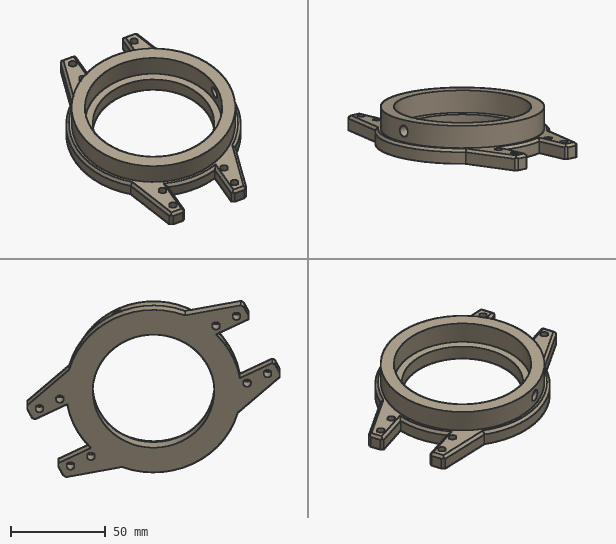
import cadquery as cq

length = 128.3
total_height = 20.0
plate_diameter = 92.4
plate_height = 8.0
edge_chamfer = 1.5

ring_diameter = 86.5
bore_diameter = 72.5
opening_diameter = 64.2

lug_inner_y = 13.9
lug_tip_y = 22.6
lug_root_x = 34.3
lug_root_y = ((plate_diameter / 2) ** 2 - lug_root_x**2) ** 0.5
lug_taper = (lug_root_y - lug_tip_y) / (length / 2 - lug_root_x)

corner_cut_x = 1.0
corner_cut_y = 1.5

lug_hole_diameter = 4.1
lug_hole_xs = (46.2, 58.3)
lug_hole_y = 18.2
side_hole_diameter = 6.0
side_hole_z = (plate_height + total_height) / 2


def make_lug(x_sign, y_sign):
    """One tapered lug, buried in the disc at its root."""
    tip_x = x_sign * length / 2
    root_x = x_sign * lug_root_x
    return (
        cq.Workplane("XY")
        .moveTo(root_x, y_sign * lug_inner_y)
        .lineTo(tip_x, y_sign * lug_inner_y)
        .lineTo(tip_x, y_sign * lug_tip_y)
        .lineTo(root_x, y_sign * lug_root_y)
        .close()
        .extrude(plate_height)
    )


def make_plate():
    """Disc with four lugs, chamfered around its whole top outline."""
    plate = cq.Workplane("XY").circle(plate_diameter / 2).extrude(plate_height)
    for x_sign in (-1, 1):
        for y_sign in (-1, 1):
            plate = plate.union(make_lug(x_sign, y_sign))
    return plate.faces(">Z").edges().chamfer(edge_chamfer)


def make_corner_cuts(x_sign, y_sign):
    """Triangular prisms that trim the inner and outer corners of one lug tip."""
    tip_x = x_sign * length / 2
    cut_x = x_sign * (length / 2 - corner_cut_x)
    inner = [
        (tip_x, y_sign * lug_inner_y),
        (cut_x, y_sign * lug_inner_y),
        (tip_x, y_sign * (lug_inner_y + corner_cut_y)),
    ]
    outer = [
        (tip_x, y_sign * lug_tip_y),
        (cut_x, y_sign * (lug_tip_y + lug_taper * corner_cut_x)),
        (tip_x, y_sign * (lug_tip_y - corner_cut_y)),
    ]
    inner_cut = cq.Workplane("XY").polyline(inner).close().extrude(plate_height)
    outer_cut = cq.Workplane("XY").polyline(outer).close().extrude(plate_height)
    return inner_cut.union(outer_cut)


def lug_hole_points():
    return [(sx * x, sy * lug_hole_y) for x in lug_hole_xs for sx in (-1, 1) for sy in (-1, 1)]


ring = cq.Workplane("XY").circle(ring_diameter / 2).extrude(total_height)
opening = cq.Workplane("XY").circle(opening_diameter / 2).extrude(total_height)
bore = (
    cq.Workplane("XY", origin=(0, 0, plate_height))
    .circle(bore_diameter / 2)
    .extrude(total_height - plate_height)
)
lug_holes = (
    cq.Workplane("XY")
    .pushPoints(lug_hole_points())
    .circle(lug_hole_diameter / 2)
    .extrude(plate_height)
)

side_hole = (
    cq.Workplane("XZ", origin=(0, 0, side_hole_z))
    .circle(side_hole_diameter / 2)
    .extrude(-plate_diameter / 2)
)

plate = make_plate()
for x_sign in (-1, 1):
    for y_sign in (-1, 1):
        plate = plate.cut(make_corner_cuts(x_sign, y_sign))

result = plate.union(ring).cut(opening).cut(bore).cut(lug_holes).cut(side_hole)